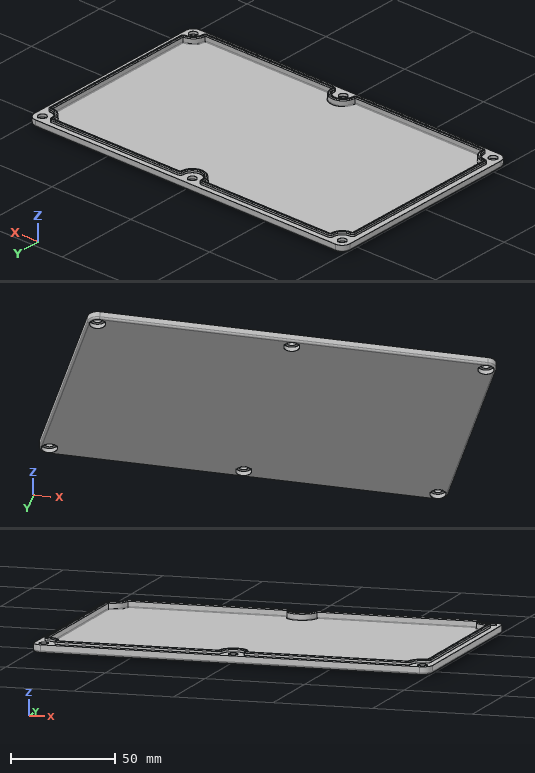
import cadquery as cq

length = 200.2
width = 120.1
height = 5.6
plate_thickness = 4.0
corner_radius = 5.0
bottom_edge_round = 1.0

hole_diameter = 4.6
head_diameter = 7.6
head_depth = 2.5
hole_edge_distance = 5.0
hole_x = length / 2 - hole_edge_distance
hole_y = width / 2 - hole_edge_distance
hole_points = [(x, y) for x in (-hole_x, 0, hole_x) for y in (-hole_y, hole_y)]

rim_end_inset = 3.2
rim_side_inset = 3.0
rim_length = length - 2 * rim_end_inset
rim_width = width - 2 * rim_side_inset
rim_wall = 1.8
rim_top_chamfer = 0.5
relief_radius = 5.6
relief_corner_round = 2.0

floor_height = 2.2
floor_edge_round = 0.3


def relieved_block(block_length, block_width, clearance_radius, bottom):
    """Rectangular block up to the rim top, cut back by a round clearance at each hole."""
    base = cq.Workplane("XY").workplane(offset=bottom)
    block = base.rect(block_length, block_width).extrude(height - bottom)
    clearances = base.pushPoints(hole_points).circle(clearance_radius).extrude(height - bottom)
    return block.cut(clearances)


def make_plate():
    """Flat plate with rounded corners and a rounded bottom edge."""
    plate = cq.Workplane("XY").box(length, width, plate_thickness, centered=(True, True, False))
    return plate.edges("|Z").fillet(corner_radius).faces("<Z").edges().fillet(bottom_edge_round)


def make_rim_block():
    """Solid block bounded by the outside of the rim."""
    block = relieved_block(rim_length, rim_width, relief_radius, plate_thickness)
    return block.edges("|Z").fillet(relief_corner_round)


def make_recess():
    """Space inside the rim, down to the sunken floor."""
    recess_length = rim_length - 2 * rim_wall
    recess_width = rim_width - 2 * rim_wall
    recess = relieved_block(recess_length, recess_width, relief_radius + rim_wall, floor_height)
    return recess.faces("<Z").edges().fillet(floor_edge_round)


def make_holes():
    """Through holes with counterbores for the screw heads in the bottom face."""
    base = cq.Workplane("XY").pushPoints(hole_points)
    shanks = base.circle(hole_diameter / 2).extrude(height)
    heads = base.circle(head_diameter / 2).extrude(head_depth)
    return shanks.union(heads)


cover = make_plate().union(make_rim_block()).cut(make_recess())
cover = cover.faces(">Z").edges().chamfer(rim_top_chamfer)
result = cover.cut(make_holes())